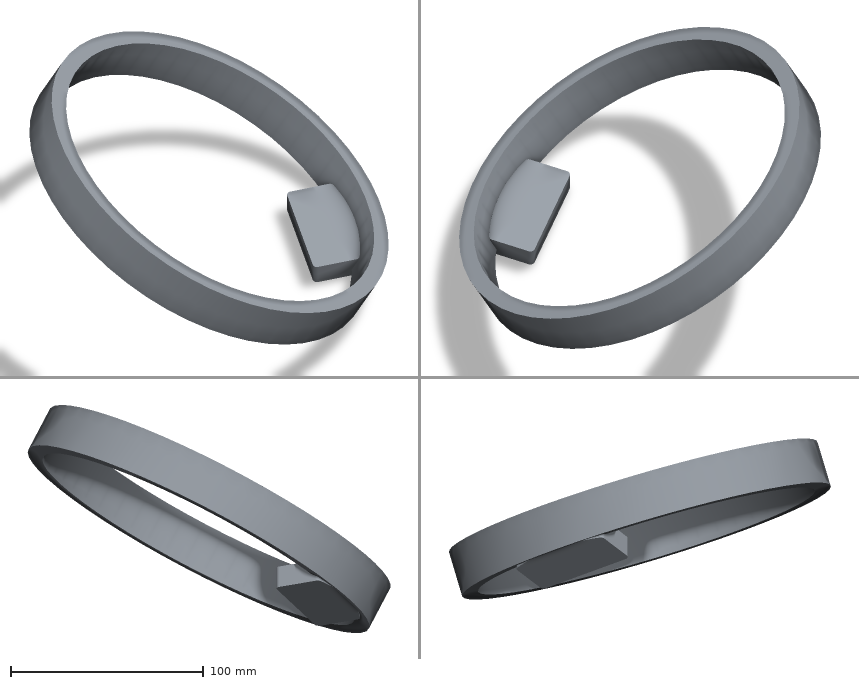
import cadquery as cq

ring_diameter = 200.0
ring_wall = 8.5
ring_width = 24.0
tilt_angle = 30.0
ring_radius = ring_diameter / 2
bore_radius = ring_radius - ring_wall

block_length = 55.0
block_height = 11.5
block_front_y = 49.0
block_bottom_z = -58.2
block_back_radius = 78.5
corner_radius = 2.5


def tilted_cylinder(radius):
    """Cylinder as wide as the ring, centred on the origin and tilted about X."""
    cylinder = cq.Workplane("XY").cylinder(ring_width, radius)
    return cylinder.rotate((0, 0, 0), (1, 0, 0), -tilt_angle)


def make_ring():
    """Plain tilted ring."""
    return tilted_cylinder(ring_radius).cut(tilted_cylinder(bore_radius))


def make_block(ring):
    """Flat block with a curved back and four rounded corners, notched where the ring passes."""
    base = cq.Workplane("XY", origin=(0, 0, block_bottom_z))
    back_cylinder = base.circle(block_back_radius).extrude(block_height)
    blank_depth = block_back_radius - block_front_y
    blank = base.center(0, block_front_y).box(
        block_length, blank_depth, block_height, centered=(True, False, False)
    )
    rounded_block = blank.intersect(back_cylinder).edges("|Z").fillet(corner_radius)
    return rounded_block.cut(ring)


ring = make_ring()
block = make_block(ring)

result = cq.Compound.makeCompound([ring.val(), *block.solids().vals()])